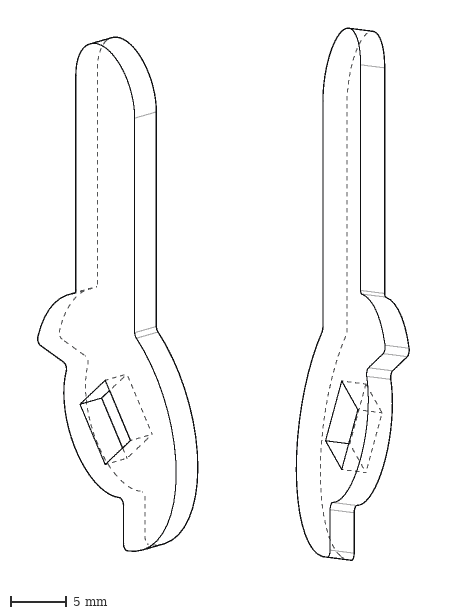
import cadquery as cq
import math

thickness = 2.3
disc_radius = 12.0
hub_radius = 7.0
lever_width = 10.0
lever_top = 38.0
notch_offset = 3.05
tip_radius = 0.5
root_radius = 0.5
neck_radius = 0.5
square_side = 6.05

lever_radius = lever_width / 2
lever_center_z = lever_top - lever_radius


def plate(sketch):
    """Extrude an XZ outline symmetrically about the XZ plane."""
    return sketch.extrude(thickness / 2, both=True)


def round_edges(body, radius, points):
    """Round the edges along Y that pass through the given (x, z) points."""
    for x, z in points:
        nearest = cq.selectors.NearestToPointSelector((x, 0, z))
        body = body.edges("|Y").edges(nearest).fillet(radius)
    return body


disc = plate(cq.Workplane("XZ").circle(disc_radius))
notch_size = 2 * disc_radius
notch = plate(
    cq.Workplane("XZ")
    .moveTo(notch_offset, notch_offset)
    .hLine(-notch_size)
    .vLine(-notch_size)
    .hLine(notch_size)
    .close()
)
hub = plate(cq.Workplane("XZ").circle(hub_radius))

lever = plate(
    cq.Workplane("XZ")
    .moveTo(-lever_radius, 0)
    .lineTo(-lever_radius, lever_center_z)
    .threePointArc((0, lever_top), (lever_radius, lever_center_z))
    .lineTo(lever_radius, 0)
    .close()
)
body = disc.union(lever).cut(notch).union(hub)

tip_reach = math.sqrt(disc_radius**2 - notch_offset**2)
root_reach = math.sqrt(hub_radius**2 - notch_offset**2)
neck_z = math.sqrt(disc_radius**2 - lever_radius**2)
body = round_edges(body, tip_radius, [(-tip_reach, notch_offset), (notch_offset, -tip_reach)])
body = round_edges(body, root_radius, [(-root_reach, notch_offset), (notch_offset, -root_reach)])
body = round_edges(body, neck_radius, [(-lever_radius, neck_z), (lever_radius, neck_z)])

square_hole = plate(
    cq.Workplane("XZ").transformed(rotate=(0, 0, 45)).rect(square_side, square_side)
)

result = body.cut(square_hole)